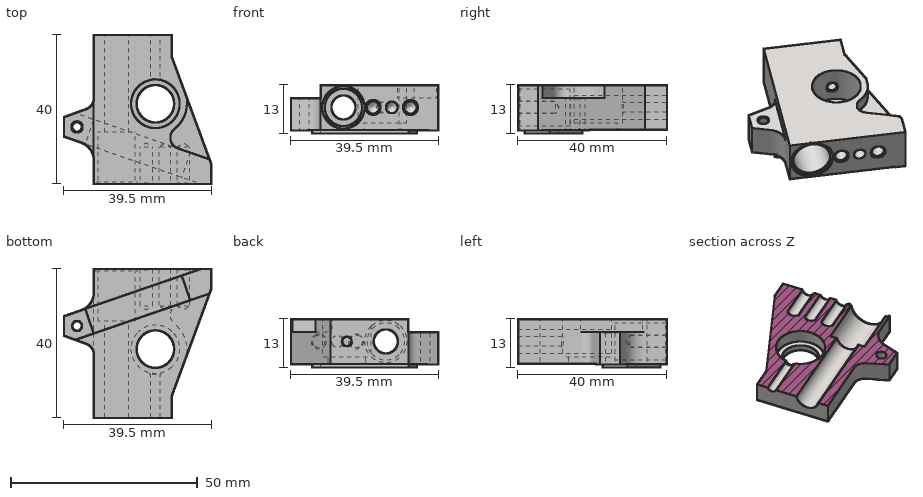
import cadquery as cq
import math

BODY_WIDTH = 31.5
BODY_LENGTH = 40.0
BACK_WIDTH = 20.95
SLANT_FRONT_Y = 5.4
SLANT_BACK_Y = 34.05
TOP_Z = 12.15
BASE_Z = 0.15
STEP_Z = 8.7

EAR_REACH = 8.0
EAR_FRONT_Y = 12.7
EAR_BACK_Y = 17.95
EAR_BACK_ANGLE = 20.0
FRONT_BLEND = 5.0
BACK_BLEND = 3.0
EAR_HOLE_X = -4.5
EAR_HOLE_Y = (EAR_FRONT_Y + EAR_BACK_Y) / 2
EAR_HOLE_RADIUS = 1.3
EAR_HOLE_CHAMFER = 0.25

TILT = 19.0
STRIP_WIDTH = 7.0
PAD_LENGTH = 27.35
PAD_START = 6.05
PAD_DEPTH = 0.85

MAIN_X = 16.5
MAIN_Y = 21.5
MAIN_RADIUS = 6.5
MAIN_LOWER_RADIUS = 5.0
MAIN_SHOULDER_Z = 2.0
CROSS_HOLE_RADIUS = 1.3
CROSS_MOUTH_RADIUS = 1.5
CROSS_MOUTH_DEPTH = 0.25

RIM_RADIUS = 8.45
RIM_SWEEP = 45.0
POCKET_CORNER_X = 23.5
POCKET_CORNER_Y = 12.4
POCKET_CORNER_RADIUS = 3.0

HOLE_Z = 6.2
SIDE_X = 6.1
SIDE_RADIUS = 5.0
SIDE_DEPTH = 14.0
SIDE_THROUGH_RADIUS = 3.2
SIDE_RECESS_RADIUS = 5.7
SIDE_RECESS_DEPTH = 0.5
PORT_X = 19.05
PORT_SPACING = 5.0
PORT_DEPTH = 10.0
PORT_RADIUS = 1.55
OUTER_PORT_RADIUS = 1.7
OUTER_PORT_CHAMFER = 0.3
DRILL_POINT_ANGLE = 118.0

CLEARANCE = 4.0


def polar(x, y, radius, degrees):
    angle = math.radians(degrees)
    return (x + radius * math.cos(angle), y + radius * math.sin(angle))


def prism(outline, bottom, top):
    return outline.extrude(top - bottom).translate((0, 0, bottom))


def body_outline():
    return cq.Workplane("XY").polyline([
        (0, 0),
        (BODY_WIDTH, 0),
        (BODY_WIDTH, SLANT_FRONT_Y),
        (BACK_WIDTH, SLANT_BACK_Y),
        (BACK_WIDTH, BODY_LENGTH),
        (0, BODY_LENGTH),
    ]).close()


def ear_edge(start_y, side, tilt, blend):
    """Straight end, arc middle and arc end of an ear edge; side is +1 at the back and -1 at the front."""
    root_y = start_y + side * EAR_REACH * math.tan(math.radians(tilt))
    end_y = root_y + side * blend * math.tan(math.radians(90 - tilt) / 2)
    straight_end = polar(-blend, end_y, blend, side * (tilt - 90))
    middle = polar(-blend, end_y, blend, side * (tilt - 90) / 2)
    return straight_end, middle, (0, end_y)


def ear_outline():
    front_tangent, front_middle, front_root = ear_edge(EAR_FRONT_Y, -1, TILT, FRONT_BLEND)
    back_tangent, back_middle, back_root = ear_edge(EAR_BACK_Y, 1, EAR_BACK_ANGLE, BACK_BLEND)
    return (
        cq.Workplane("XY")
        .moveTo(-EAR_REACH, EAR_FRONT_Y)
        .lineTo(*front_tangent)
        .threePointArc(front_middle, front_root)
        .lineTo(CLEARANCE, front_root[1])
        .lineTo(CLEARANCE, back_root[1])
        .lineTo(*back_root)
        .threePointArc(back_middle, back_tangent)
        .lineTo(-EAR_REACH, EAR_BACK_Y)
        .close()
    )


def strip_box(start, length, bottom, top):
    """Box running along the tilted strip, placed from the ear's front corner."""
    return (
        cq.Workplane("XY")
        .box(length, STRIP_WIDTH, top - bottom, centered=False)
        .translate((start, 0, bottom))
        .rotate((0, 0, 0), (0, 0, 1), -TILT)
        .translate((-EAR_REACH, EAR_FRONT_Y, 0))
    )


def pocket():
    """Open pocket that follows the rim of the Z bore and then the tilt of the strip."""
    rim_start = polar(MAIN_X, MAIN_Y, RIM_RADIUS, 0)
    rim_middle = polar(MAIN_X, MAIN_Y, RIM_RADIUS, -RIM_SWEEP / 2)
    rim_end = polar(MAIN_X, MAIN_Y, RIM_RADIUS, -RIM_SWEEP)
    corner_angle = 180 - RIM_SWEEP
    corner = (POCKET_CORNER_X, POCKET_CORNER_Y, POCKET_CORNER_RADIUS)
    wall_angle = 270 - TILT
    corner_end = polar(*corner, wall_angle)
    outer_x = BODY_WIDTH + CLEARANCE
    outer_y = corner_end[1] - (outer_x - corner_end[0]) * math.tan(math.radians(TILT))
    outline = (
        cq.Workplane("XY")
        .moveTo(rim_start[0], SLANT_BACK_Y)
        .lineTo(*rim_start)
        .threePointArc(rim_middle, rim_end)
        .lineTo(*polar(*corner, corner_angle))
        .threePointArc(polar(*corner, (corner_angle + wall_angle) / 2), corner_end)
        .lineTo(outer_x, outer_y)
        .lineTo(outer_x, SLANT_BACK_Y)
        .close()
    )
    return prism(outline, STEP_Z, TOP_Z + CLEARANCE)


def hole_along_y(x, radius, start_y, end_y):
    return cq.Workplane("XZ", origin=(x, start_y, HOLE_Z)).circle(radius).extrude(start_y - end_y)


def front_chamfer(x, radius, size):
    cone = cq.Solid.makeCone(radius + size, radius, size, cq.Vector(x, 0, HOLE_Z), cq.Vector(0, 1, 0))
    return cq.Workplane(cone)


def drilled_port(x, radius):
    """Blind hole with a conical drill point."""
    point_length = radius / math.tan(math.radians(DRILL_POINT_ANGLE / 2))
    tip = cq.Solid.makeCone(radius, 0, point_length, cq.Vector(x, PORT_DEPTH, HOLE_Z), cq.Vector(0, 1, 0))
    return hole_along_y(x, radius, 0, PORT_DEPTH).union(cq.Workplane(tip))


def vertical_hole(x, y, radius, bottom, top):
    return prism(cq.Workplane("XY").center(x, y).circle(radius), bottom, top)


block = prism(body_outline(), BASE_Z, TOP_Z)
ear = prism(ear_outline(), BASE_Z, STEP_Z)
footprint = prism(body_outline(), 0, BASE_Z).union(prism(ear_outline(), 0, BASE_Z))
strip_length = EAR_REACH + BODY_WIDTH + BODY_LENGTH
strip = strip_box(-EAR_REACH, strip_length, 0, BASE_Z).intersect(footprint)
pad = strip_box(PAD_START, PAD_LENGTH, -PAD_DEPTH, BASE_Z)
result = block.union(ear).union(strip).union(pad)

result = result.cut(pocket())
result = result.cut(vertical_hole(MAIN_X, MAIN_Y, MAIN_RADIUS, MAIN_SHOULDER_Z, TOP_Z))
result = result.cut(vertical_hole(MAIN_X, MAIN_Y, MAIN_LOWER_RADIUS, -CLEARANCE, TOP_Z))
result = result.cut(hole_along_y(MAIN_X, CROSS_HOLE_RADIUS, MAIN_Y, BODY_LENGTH))
cross_mouth_end = MAIN_Y + MAIN_RADIUS + CROSS_MOUTH_DEPTH
result = result.cut(hole_along_y(MAIN_X, CROSS_MOUTH_RADIUS, MAIN_Y, cross_mouth_end))

result = result.cut(hole_along_y(SIDE_X, SIDE_RADIUS, 0, SIDE_DEPTH))
result = result.cut(hole_along_y(SIDE_X, SIDE_THROUGH_RADIUS, 0, BODY_LENGTH))
result = result.cut(hole_along_y(SIDE_X, SIDE_RECESS_RADIUS, 0, SIDE_RECESS_DEPTH))

result = result.cut(drilled_port(PORT_X, PORT_RADIUS))
for port_x in (PORT_X - PORT_SPACING, PORT_X + PORT_SPACING):
    result = result.cut(drilled_port(port_x, OUTER_PORT_RADIUS))
    result = result.cut(front_chamfer(port_x, OUTER_PORT_RADIUS, OUTER_PORT_CHAMFER))

result = result.cut(vertical_hole(EAR_HOLE_X, EAR_HOLE_Y, EAR_HOLE_RADIUS, -CLEARANCE, STEP_Z))
ear_chamfer = cq.Solid.makeCone(
    EAR_HOLE_RADIUS + EAR_HOLE_CHAMFER,
    EAR_HOLE_RADIUS,
    EAR_HOLE_CHAMFER,
    cq.Vector(EAR_HOLE_X, EAR_HOLE_Y, STEP_Z),
    cq.Vector(0, 0, -1),
)
result = result.cut(cq.Workplane(ear_chamfer))